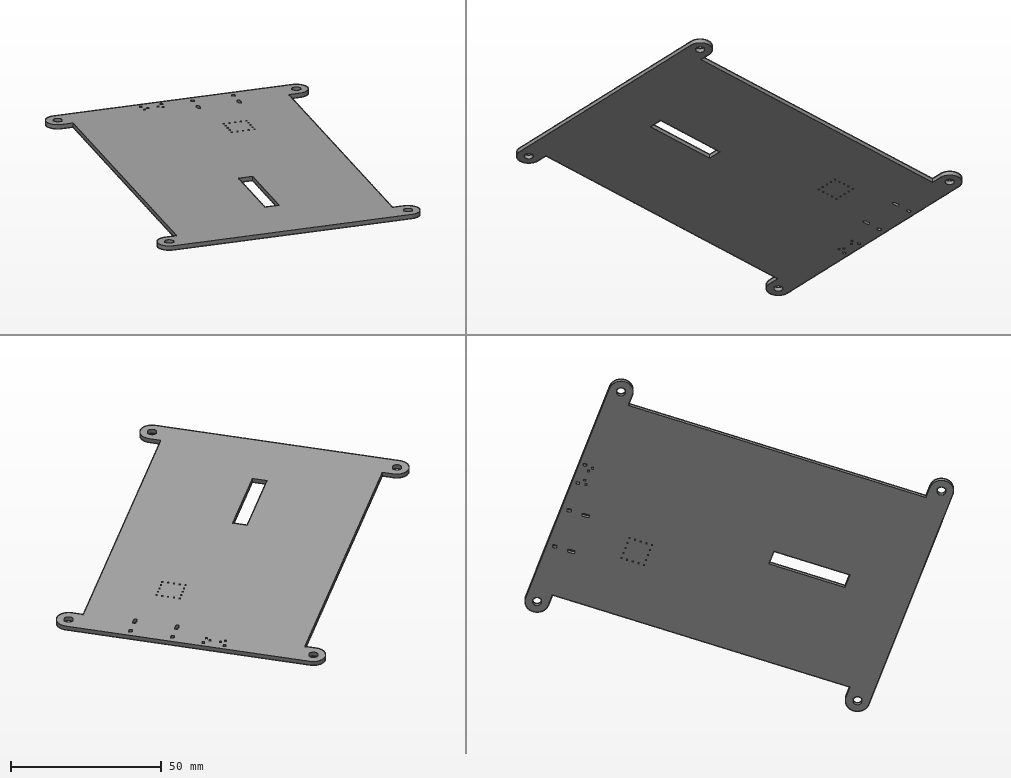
import cadquery as cq

LENGTH = 120.7
OVERALL_WIDTH = 91.9
THICKNESS = 1.6
BODY_WIDTH = 75.8
EAR_WIDTH = 8.1
EAR_HOLE_DIAMETER = 3.0

WINDOW_LENGTH = 26.7
WINDOW_WIDTH = 5.0
WINDOW_X = 24.9
WINDOW_Y = 0.5

SLOT_WIDTH = 1.1
SHORT_SLOT_LENGTH = 1.6
LONG_SLOT_LENGTH = 2.5
SHORT_SLOT_X = -57.7
LONG_SLOT_X = -51.9
SLOT_CENTER_Y = 13.2
SLOT_SPACING = 14.4

VIA_DIAMETER = 0.4
VIA_PITCH = 1.99
VIAS_PER_SIDE = 5
VIA_RING_X = -31.4
VIA_RING_Y = 13.2

PAIR_CENTER_Y = -8.3
PIN_DIAMETER = 0.7
LOCATING_SLOT_LENGTH = 1.2
LOCATING_SLOT_WIDTH = 0.8
LOCATING_X = -58.4
LOCATING_OFFSET = 3.6
PIN_PAIRS = [
    (-55.6, 3.3),
    (-56.6, 1.8),
]


def make_plate():
    """Rectangular body with a round-ended ear strip along each short side."""
    plate = cq.Workplane("XY").rect(LENGTH, BODY_WIDTH).extrude(THICKNESS)
    ear_x = (LENGTH - EAR_WIDTH) / 2
    ear_strips = (
        cq.Workplane("XY")
        .pushPoints([(-ear_x, 0), (ear_x, 0)])
        .slot2D(OVERALL_WIDTH, EAR_WIDTH, 90)
        .extrude(THICKNESS)
    )
    return plate.union(ear_strips)


def round_cutters(points, diameter):
    return cq.Workplane("XY").pushPoints(points).circle(diameter / 2).extrude(THICKNESS)


def ear_hole_cutters():
    """Holes concentric with the rounded ends of the ears."""
    x = (LENGTH - EAR_WIDTH) / 2
    y = (OVERALL_WIDTH - EAR_WIDTH) / 2
    points = [(side_x * x, side_y * y) for side_x in (-1, 1) for side_y in (-1, 1)]
    return round_cutters(points, EAR_HOLE_DIAMETER)


def window_cutter():
    return (
        cq.Workplane("XY")
        .center(WINDOW_X, WINDOW_Y)
        .rect(WINDOW_LENGTH, WINDOW_WIDTH)
        .extrude(THICKNESS)
    )


def mirrored_pair(x, center_y, offset):
    return [(x, center_y - offset), (x, center_y + offset)]


def slot_cutters(points, length, width):
    """Round-ended slots running along X."""
    return cq.Workplane("XY").pushPoints(points).slot2D(length, width).extrude(THICKNESS)


def via_ring_cutters():
    """Vias on the border of a square grid; the inner places stay solid."""
    last = VIAS_PER_SIDE - 1
    points = []
    for column in range(VIAS_PER_SIDE):
        for row in range(VIAS_PER_SIDE):
            if column in (0, last) or row in (0, last):
                x = VIA_RING_X + (column - last / 2) * VIA_PITCH
                y = VIA_RING_Y + (row - last / 2) * VIA_PITCH
                points.append((x, y))
    return round_cutters(points, VIA_DIAMETER)


result = make_plate()
result = result.cut(ear_hole_cutters())
result = result.cut(window_cutter())
for slot_x, slot_length in [(SHORT_SLOT_X, SHORT_SLOT_LENGTH), (LONG_SLOT_X, LONG_SLOT_LENGTH)]:
    slot_points = mirrored_pair(slot_x, SLOT_CENTER_Y, SLOT_SPACING / 2)
    result = result.cut(slot_cutters(slot_points, slot_length, SLOT_WIDTH))
result = result.cut(via_ring_cutters())
locating_points = mirrored_pair(LOCATING_X, PAIR_CENTER_Y, LOCATING_OFFSET)
result = result.cut(slot_cutters(locating_points, LOCATING_SLOT_LENGTH, LOCATING_SLOT_WIDTH))
for pin_x, pin_offset in PIN_PAIRS:
    pin_points = mirrored_pair(pin_x, PAIR_CENTER_Y, pin_offset)
    result = result.cut(round_cutters(pin_points, PIN_DIAMETER))